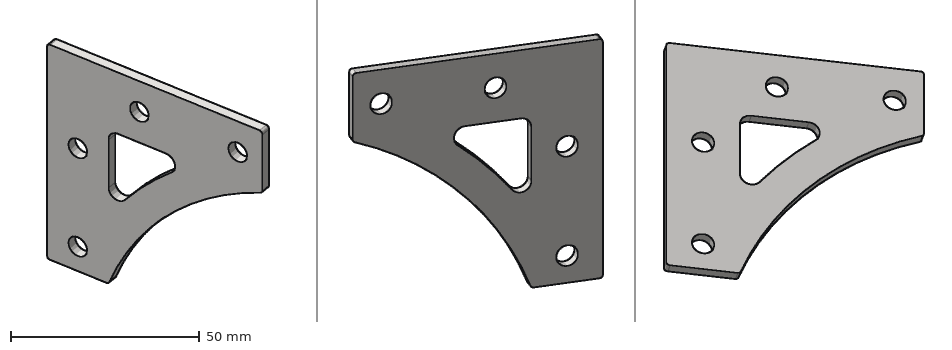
import cadquery as cq
import math

side = 70.0
thickness = 3.15
leg_width = 20.0
outer_corner_radius = 1.0
window_corner_radius = 3.0
arc_center = 100.0
band_width = 10.0
hole_diameter = 6.0
hole_inset = 10.0
hole_distances = (30.0, 62.0)

edge_radius = math.hypot(arc_center - side, arc_center - leg_width)
window_radius = edge_radius + band_width


def diagonal_point(radius):
    """Point where an arc of this radius crosses the bracket diagonal."""
    offset = arc_center - radius / math.sqrt(2)
    return (offset, -offset)


def make_plate():
    plate = (
        cq.Workplane("XZ")
        .lineTo(side, 0)
        .lineTo(side, -leg_width)
        .threePointArc(diagonal_point(edge_radius), (leg_width, -side))
        .lineTo(0, -side)
        .close()
        .extrude(thickness)
    )
    return plate.edges("|Y").fillet(outer_corner_radius)


def make_window():
    """Three-sided cutter with two straight sides and one arc."""
    reach = arc_center - math.sqrt(window_radius**2 - (arc_center - leg_width) ** 2)
    window = (
        cq.Workplane("XZ")
        .moveTo(leg_width, -leg_width)
        .lineTo(reach, -leg_width)
        .threePointArc(diagonal_point(window_radius), (leg_width, -reach))
        .close()
        .extrude(thickness)
    )
    return window.edges("|Y").fillet(window_corner_radius)


def make_holes():
    """Cutters for two holes along each leg."""
    centers = []
    for distance in hole_distances:
        centers.append((distance, -hole_inset))
        centers.append((hole_inset, -distance))
    return cq.Workplane("XZ").pushPoints(centers).circle(hole_diameter / 2).extrude(thickness)


result = make_plate().cut(make_window()).cut(make_holes())